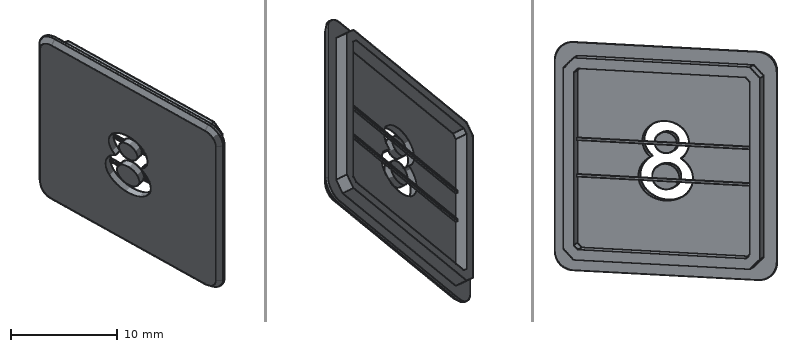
import cadquery as cq

plate_size = 21.85
plate_corner_radius = 1.8
plate_thickness = 0.75
bevel_width = 0.48
bevel_depth = 0.48

total_depth = 2.03
frame_size = 19.35
frame_corner_cut = 1.0
frame_wall = 1.0

window_lobes = [(1.85, 2.3, 1.99), (-1.53, 2.69, 2.25)]
islands = [(1.77, 1.1, 1.0), (-1.49, 1.33, 1.22)]

rib_heights = [1.73, -1.77]
rib_width = 0.25
rib_depth = 0.25


def plane_at(y):
    """XZ sketch plane at the given Y, extruding toward +Y; its local y points to -Z."""
    return cq.Workplane(cq.Plane(origin=(0, y, 0), xDir=(1, 0, 0), normal=(0, 1, 0)))


def rounded_plate():
    """Rounded square plate with a bevel around its front edge."""
    rim_thickness = plate_thickness - bevel_depth
    rim = (
        plane_at(bevel_depth)
        .rect(plate_size, plate_size)
        .extrude(rim_thickness)
        .edges("|Y")
        .fillet(plate_corner_radius)
    )
    front_size = plate_size - 2 * bevel_width
    front_radius = plate_corner_radius - bevel_width
    front = cq.Sketch().rect(front_size, front_size).vertices().fillet(front_radius)
    back = cq.Sketch().rect(plate_size, plate_size).vertices().fillet(plate_corner_radius)
    bevel = plane_at(0).placeSketch(front, back.moved(cq.Location(cq.Vector(0, 0, bevel_depth)))).loft()
    return rim.union(bevel)


def cut_corner_block(size, corner_cut):
    """Square block behind the plate with its four corners cut at 45 degrees."""
    block = plane_at(plate_thickness).rect(size, size).extrude(total_depth - plate_thickness)
    return block.edges("|Y").chamfer(corner_cut)


def oval_prism(centre_z, half_width, half_height):
    """Elliptical prism as deep as the plate."""
    return plane_at(0).center(0, -centre_z).ellipse(half_width, half_height).extrude(plate_thickness)


inner_size = frame_size - 2 * frame_wall
inner_corner_cut = frame_corner_cut - frame_wall * (2 - 2**0.5)
frame = cut_corner_block(frame_size, frame_corner_cut).cut(cut_corner_block(inner_size, inner_corner_cut))
result = rounded_plate().union(frame)

for lobe in window_lobes:
    result = result.cut(oval_prism(*lobe))

for island, rib_z in zip(islands, rib_heights):
    rib = plane_at(plate_thickness).center(0, -rib_z).rect(inner_size, rib_width).extrude(rib_depth)
    result = result.union(oval_prism(*island).union(rib))